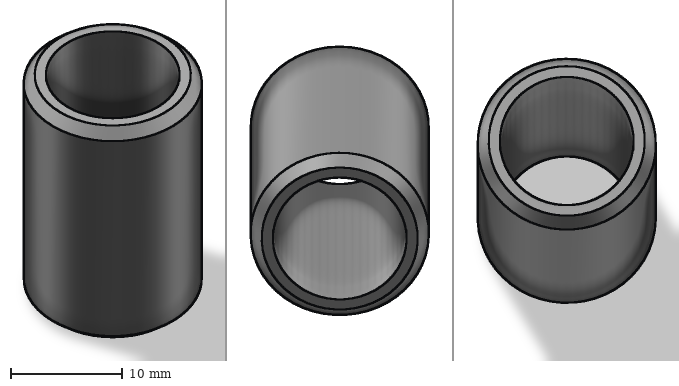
import cadquery as cq

length = 25.0
outer_diameter = 16.0
wall = 2.0
chamfer = wall / 2
bore_diameter = outer_diameter - 2 * wall

body = cq.Workplane("XY").circle(outer_diameter / 2).extrude(length)
body = body.faces("<Z or >Z").edges().chamfer(chamfer)

bore = cq.Workplane("XY").circle(bore_diameter / 2).extrude(length)
result = body.cut(bore)